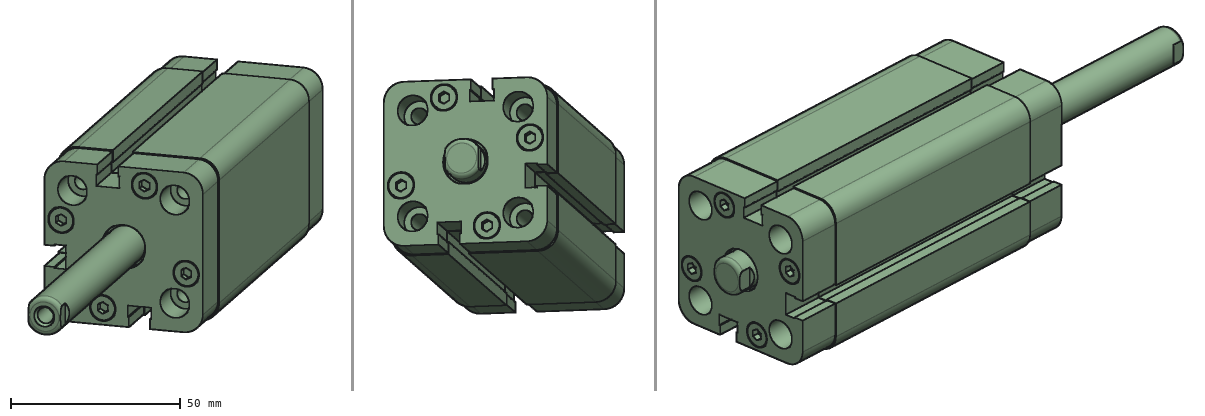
import cadquery as cq
import math

TOTAL_LENGTH = 196.5
TAIL_LENGTH = 6.0
BODY_LENGTH = 114.5
CAP_LENGTH = 14.3

BODY_SIZE = 50.1
CAP_INSET = 0.4
CORNER_RADIUS = 6.0

Y_FRONT = -TOTAL_LENGTH / 2
Y_REAR = TOTAL_LENGTH / 2
BODY_REAR = Y_REAR - TAIL_LENGTH
BODY_FRONT = BODY_REAR - BODY_LENGTH
TUBE_REAR = BODY_REAR - CAP_LENGTH
TUBE_FRONT = BODY_FRONT + CAP_LENGTH

SLOT_OFFSET = 5.0
SLOT_WIDTH = 6.9
SLOT_MOUTH = 6.0
SLOT_DEPTH = 6.9
SLOT_LIP = 3.7
SLOT_CLEARANCE = 0.2

MOUNT_OFFSET = 16.0
MOUNT_DIAMETER = 5.0
MOUNT_BORE = 9.0
MOUNT_BORE_DEPTH = 5

SCREW_FAR = 19.5
SCREW_NEAR = 6.5
SCREW_BORE = 8.0
SCREW_HEAD = 7.5
SCREW_HEAD_DEPTH = 2.5
SCREW_HEX = 3.1
SCREW_HEX_DEPTH = 1.2

ROD_DIAMETER = 12.0
ROD_CLEARANCE = 13.5
CLEARANCE_DEPTH = 1
ROD_END_DIAMETER = 9.0
FLAT_WIDTH = 10.0
FLAT_LENGTH = 4.5
THREAD_DIAMETER = 5.0
THREAD_MOUTH = 6.3
THREAD_MOUTH_DEPTH = 1.2
THREAD_DEPTH = 11.8
DRILL_TIP_ANGLE = 118

END_FACES = ((BODY_FRONT, 2), (BODY_REAR, -2))


def section(y):
    """Sketch plane across the Y axis with local axes X and Z; extrusion runs towards -Y."""
    return cq.Workplane("XZ", origin=(0, y, 0))


def square_bar(size, y_from, y_to):
    bar = section(y_to).rect(size, size).extrude(y_to - y_from)
    return bar.edges("|Y").fillet(CORNER_RADIUS)


def cylinder(diameter, y, length, points=((0, 0),)):
    """Round bars from y, running towards +Y for a positive length."""
    return section(y).pushPoints(points).circle(diameter / 2).extrude(-length)


def slot_cutter(clearance, y_from, y_to):
    """T-slot in the top face, with every wall moved back by the clearance."""
    surface = BODY_SIZE / 2
    mouth = SLOT_MOUTH / 2 + clearance
    chamber = SLOT_WIDTH / 2 + clearance
    shoulder = surface - SLOT_LIP + clearance
    floor = surface - SLOT_DEPTH - clearance
    outline = [
        (-mouth, surface),
        (-mouth, shoulder),
        (-chamber, shoulder),
        (-chamber, floor),
        (chamber, floor),
        (chamber, shoulder),
        (mouth, shoulder),
        (mouth, surface),
    ]
    bar = section(y_to).polyline(outline).close().extrude(y_to - y_from)
    return bar.translate((-SLOT_OFFSET, 0, 0))


def cut_slots(body):
    cutter = slot_cutter(0, TUBE_FRONT, TUBE_REAR)
    cutter = cutter.union(slot_cutter(SLOT_CLEARANCE, BODY_FRONT, TUBE_FRONT))
    cutter = cutter.union(slot_cutter(SLOT_CLEARANCE, TUBE_REAR, BODY_REAR))
    for angle in (0, -90, 180):
        body = body.cut(cutter.rotate((0, 0, 0), (0, 1, 0), angle))
    return body


def cut_mounting_holes(body):
    corners = [(x, z) for x in (-MOUNT_OFFSET, MOUNT_OFFSET) for z in (-MOUNT_OFFSET, MOUNT_OFFSET)]
    body = body.cut(cylinder(MOUNT_DIAMETER, BODY_FRONT, BODY_LENGTH, corners))
    for face, inward in END_FACES:
        body = body.cut(cylinder(MOUNT_BORE, face, inward * MOUNT_BORE_DEPTH, corners))
    return body


def add_screws(body):
    """Leave a ring-shaped gap around each flush screw head and cut its hexagon socket."""
    places = [
        (-SCREW_FAR, SCREW_NEAR),
        (SCREW_NEAR, SCREW_FAR),
        (SCREW_FAR, -SCREW_NEAR),
        (-SCREW_NEAR, -SCREW_FAR),
    ]
    hex_corners = SCREW_HEX / math.cos(math.pi / 6)
    for face, inward in END_FACES:
        gap = cylinder(SCREW_BORE, face, inward * SCREW_HEAD_DEPTH, places)
        gap = gap.cut(cylinder(SCREW_HEAD, face, inward * SCREW_HEAD_DEPTH, places))
        for x, z in places:
            socket = section(face).polygon(6, hex_corners).extrude(-inward * SCREW_HEX_DEPTH)
            socket = socket.rotate((0, 0, 0), (0, 1, 0), 90).translate((x, 0, z))
            body = body.cut(socket)
        body = body.cut(gap)
    return body


def build_rod():
    """Through rod with rounded ends and a pair of wrench flats at each end."""
    radius = ROD_DIAMETER / 2
    end_fillet = (ROD_DIAMETER - ROD_END_DIAMETER) / 2
    rod = cylinder(ROD_DIAMETER, Y_FRONT, TOTAL_LENGTH).edges("%CIRCLE").fillet(end_fillet)
    flat = FLAT_WIDTH / 2
    runout = radius - flat
    for end, inward in ((Y_FRONT, 1), (Y_REAR, -1)):
        for side in (-1, 1):
            corners = [
                (side * flat, end),
                (side * flat, end + inward * FLAT_LENGTH),
                (side * radius, end + inward * (FLAT_LENGTH + runout)),
                (side * radius, end),
            ]
            wedge = cq.Workplane("XY").polyline(corners).close().extrude(radius, both=True)
            rod = rod.cut(wedge)
    return rod


def build_rod_thread():
    """Drilled hole in the rod tip with a countersunk mouth and a conical bottom."""
    radius = THREAD_DIAMETER / 2
    mouth = THREAD_MOUTH / 2
    tip_length = radius / math.tan(math.radians(DRILL_TIP_ANGLE / 2))
    profile = [
        (0, Y_FRONT),
        (mouth, Y_FRONT),
        (radius, Y_FRONT + THREAD_MOUTH_DEPTH),
        (radius, Y_FRONT + THREAD_DEPTH),
        (0, Y_FRONT + THREAD_DEPTH + tip_length),
    ]
    return cq.Workplane("XY").polyline(profile).close().revolve(360, (0, 0), (0, 1))


def build_body():
    """Square tube section with a slightly smaller cap at each end."""
    cap_size = BODY_SIZE - 2 * CAP_INSET
    tube = square_bar(BODY_SIZE, TUBE_FRONT, TUBE_REAR)
    front_cap = square_bar(cap_size, BODY_FRONT, TUBE_FRONT)
    rear_cap = square_bar(cap_size, TUBE_REAR, BODY_REAR)
    return tube.union(front_cap).union(rear_cap)


def cut_rod_clearance(body):
    for face, inward in END_FACES:
        body = body.cut(cylinder(ROD_CLEARANCE, face, inward * CLEARANCE_DEPTH))
    return body


body = build_body()
body = cut_slots(body)
body = cut_mounting_holes(body)
body = add_screws(body)
body = cut_rod_clearance(body)

result = body.union(build_rod()).cut(build_rod_thread())